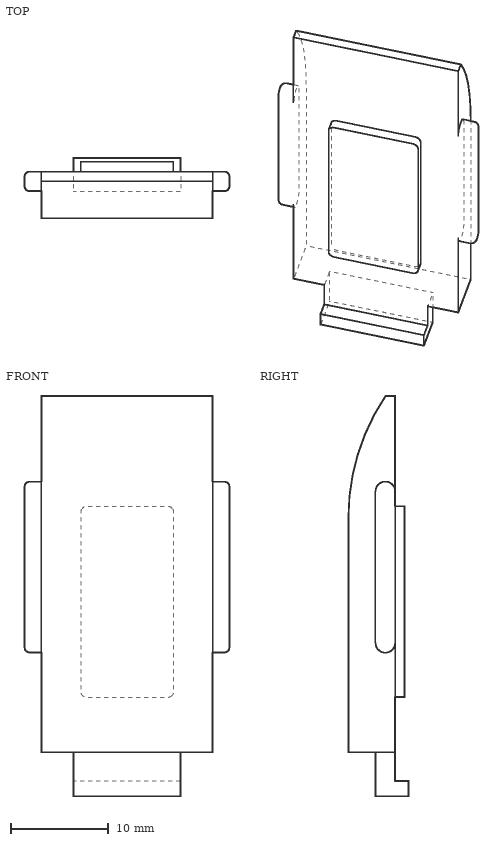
import cadquery as cq

TOTAL_HEIGHT = 41.0
HOUSING_WIDTH = 17.5
HOUSING_DEPTH = 4.8
TOP_EDGE_DEPTH = 1.0
CURVE_HEIGHT = 12.5

TONGUE_WIDTH = 11.0
TONGUE_HEIGHT = 4.5
TONGUE_DEPTH = 2.0
HOOK_HEIGHT = 1.6
HOOK_REACH = 1.4

OVERALL_WIDTH = 21.0
RAIL_LENGTH = 17.5
RAIL_THICKNESS = TONGUE_DEPTH
RAIL_TOP_DROP = 8.78
RAIL_EDGE_RADIUS = 0.55

PAD_WIDTH = 9.5
PAD_LENGTH = 19.55
PAD_THICKNESS = 1.0
PAD_TOP_DROP = 11.28
PAD_CORNER_RADIUS = 0.6


def make_plate():
    """Plate with a front curve that is tangent to the flat front face."""
    curve_start_z = TOTAL_HEIGHT - CURVE_HEIGHT
    return (
        cq.Workplane("YZ", origin=(-HOUSING_WIDTH / 2, 0, 0))
        .moveTo(0, TONGUE_HEIGHT)
        .lineTo(-HOUSING_DEPTH, TONGUE_HEIGHT)
        .lineTo(-HOUSING_DEPTH, curve_start_z)
        .tangentArcPoint((-TOP_EDGE_DEPTH, TOTAL_HEIGHT), relative=False)
        .lineTo(0, TOTAL_HEIGHT)
        .close()
        .extrude(HOUSING_WIDTH)
    )


def make_tongue():
    """L-shaped tongue hanging from the underside of the plate."""
    return (
        cq.Workplane("YZ", origin=(-TONGUE_WIDTH / 2, 0, 0))
        .moveTo(-TONGUE_DEPTH, 0)
        .lineTo(HOOK_REACH, 0)
        .lineTo(HOOK_REACH, HOOK_HEIGHT)
        .lineTo(0, HOOK_HEIGHT)
        .lineTo(0, TONGUE_HEIGHT)
        .lineTo(-TONGUE_DEPTH, TONGUE_HEIGHT)
        .close()
        .extrude(TONGUE_WIDTH)
    )


def make_rail_bar():
    """One round-ended bar across the plate; its two ends form the rails."""
    center_z = TOTAL_HEIGHT - RAIL_TOP_DROP - RAIL_LENGTH / 2
    return (
        cq.Workplane("YZ", origin=(-OVERALL_WIDTH / 2, -RAIL_THICKNESS / 2, center_z))
        .slot2D(RAIL_LENGTH, RAIL_THICKNESS, 90)
        .extrude(OVERALL_WIDTH)
        .faces("<X or >X")
        .edges()
        .fillet(RAIL_EDGE_RADIUS)
    )


def make_housing():
    """Plate, tongue and rails joined into one solid."""
    return make_plate().union(make_tongue()).union(make_rail_bar())


def make_pad():
    """Plate with rounded corners that rests on the back face of the housing."""
    center_z = TOTAL_HEIGHT - PAD_TOP_DROP - PAD_LENGTH / 2
    return (
        cq.Workplane("XY")
        .box(PAD_WIDTH, PAD_THICKNESS, PAD_LENGTH)
        .edges("|Y")
        .fillet(PAD_CORNER_RADIUS)
        .translate((0, PAD_THICKNESS / 2, center_z))
    )


housing = make_housing()
pad = make_pad()

result = cq.Compound.makeCompound([housing.val(), pad.val()])